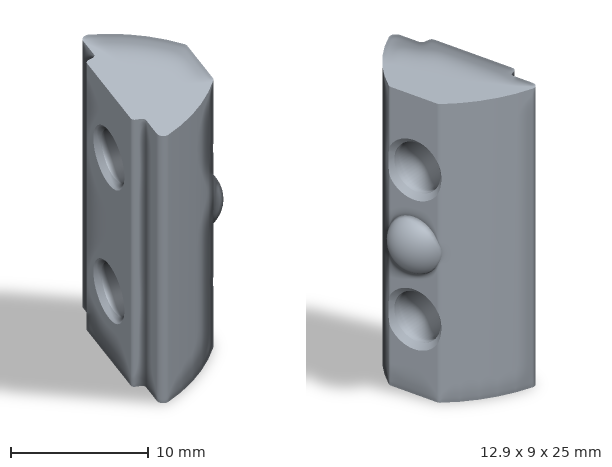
import cadquery as cq
import math

length = 25.0
back_y = 7.4
shoulder_y = 0.9
back_half_width = 2.2
wing_half_width = 6.65
flank_radius = 13.0

rib_front_half_width = 3.75
rib_root_half_width = 3.98

wing_round = 0.52
rib_round = 0.3
back_round = 0.38

hole_diameter = 4.12
countersink_diameter = 5.0
hole_spacing = length / 2

ball_radius = 2.5
ball_top_y = 9.0


def make_body():
    """Extrude the symmetrical profile and round its lengthwise edges."""
    chord = math.hypot(wing_half_width - back_half_width, back_y - shoulder_y)
    flank_bulge = flank_radius - math.sqrt(flank_radius**2 - (chord / 2) ** 2)
    body = (
        cq.Workplane("XY")
        .moveTo(-rib_front_half_width, 0)
        .lineTo(rib_front_half_width, 0)
        .lineTo(rib_root_half_width, shoulder_y)
        .lineTo(wing_half_width, shoulder_y)
        .sagittaArc((back_half_width, back_y), -flank_bulge)
        .lineTo(-back_half_width, back_y)
        .sagittaArc((-wing_half_width, shoulder_y), -flank_bulge)
        .lineTo(-rib_root_half_width, shoulder_y)
        .close()
        .extrude(length)
    )
    corners = (
        (wing_half_width, shoulder_y, wing_round),
        (rib_front_half_width, 0, rib_round),
        (rib_root_half_width, shoulder_y, rib_round),
        (back_half_width, back_y, back_round),
    )
    for x, y, radius in corners:
        for side in (-1, 1):
            corner = (side * x, y, length / 2)
            body = body.edges(cq.selectors.NearestToPointSelector(corner)).fillet(radius)
    return body


def make_hole(z):
    """Through hole along Y with a 45 degree countersink at each end."""
    hole_radius = hole_diameter / 2
    countersink_radius = countersink_diameter / 2
    depth = countersink_radius - hole_radius
    return (
        cq.Workplane("XY")
        .polyline([
            (0, 0),
            (countersink_radius, 0),
            (hole_radius, depth),
            (hole_radius, back_y - depth),
            (countersink_radius, back_y),
            (0, back_y),
        ])
        .close()
        .revolve(360, (0, 0), (0, 1))
        .translate((0, 0, z))
    )


result = make_body()
for direction in (-1, 1):
    result = result.cut(make_hole(length / 2 + direction * hole_spacing / 2))

ball = cq.Workplane("XY").sphere(ball_radius).translate((0, ball_top_y - ball_radius, length / 2))
result = result.union(ball)